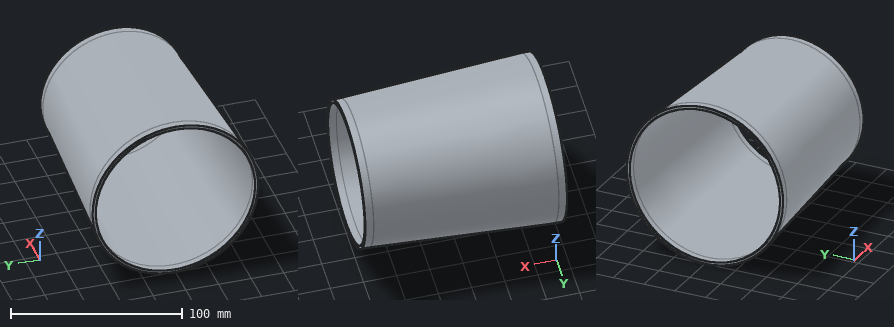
import cadquery as cq
import math

length = 120.0
collar_length = 5.0
large_diameter = 101.6
small_diameter = 89.1
wall = 2.0
blend_radius = 2.0

large_radius = large_diameter / 2
small_radius = small_diameter / 2
taper_start = collar_length
taper_end = length - collar_length
taper_angle = math.atan2(large_radius - small_radius, taper_end - taper_start)

blend_reach = blend_radius * math.tan(taper_angle / 2)
blend_axial = blend_reach * math.cos(taper_angle)
blend_radial = blend_reach * math.sin(taper_angle)


def revolve_about_x(profile):
    """Full turn of a closed half-profile about the pipe axis."""
    return profile.revolve(360, (0, 0, 0), (1, 0, 0))


def outer_body():
    """Solid reducer shape with rounded collar-to-cone corners."""
    profile = (
        cq.Workplane("XZ")
        .lineTo(0, large_radius)
        .lineTo(taper_start - blend_reach, large_radius)
        .tangentArcPoint((taper_start + blend_axial, large_radius - blend_radial), relative=False)
        .lineTo(taper_end - blend_axial, small_radius + blend_radial)
        .tangentArcPoint((taper_end + blend_reach, small_radius), relative=False)
        .lineTo(length, small_radius)
        .lineTo(length, 0)
        .close()
    )
    return revolve_about_x(profile)


def bore():
    """Through bore following the outside at a constant radial wall."""
    large_bore_radius = large_radius - wall
    small_bore_radius = small_radius - wall
    profile = (
        cq.Workplane("XZ")
        .lineTo(0, large_bore_radius)
        .lineTo(taper_start, large_bore_radius)
        .lineTo(taper_end, small_bore_radius)
        .lineTo(length, small_bore_radius)
        .lineTo(length, 0)
        .close()
    )
    return revolve_about_x(profile)


result = outer_body().cut(bore())